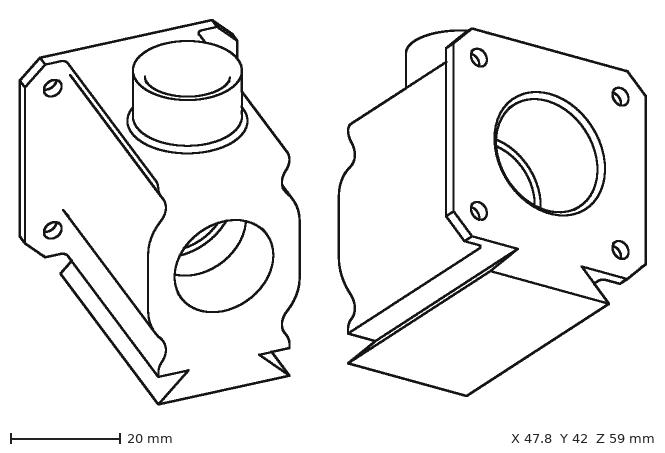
import cadquery as cq
import math

length = 47.8
flange_size = 42.0
total_height = 59.0

foot_height = 6.0
foot_bottom_width = 25.95
foot_top_width = 14.0
axis_z = foot_height + flange_size / 2
body_top_z = foot_height + flange_size

flange_thickness = 2.55
flange_corner = 4.0
bolt_pitch = 31.0
bolt_diameter = 3.5

body_half_width = 15.0
top_half_width = 13.0
relief_radius = 4.0
shoulder_radius = 10.05
lip_radius = 4.0
root_fillet = 1.0
end_fillet = 1.0

seat_diameter = 22.2
throat_diameter = 19.5
seat_depth = 20.0
groove_width = 8.95
bore_chamfer = 1.0

port_x = 30.0
port_diameter = 20.0
port_base_chamfer = 1.0
port_rim_diameter = 18.6
port_cone_diameter = 15.5
port_hole_diameter = 10.0


def cylinder_x(diameter, start, depth):
    """Cylinder along X on the bearing axis."""
    return (
        cq.Workplane("YZ", origin=(start, 0, axis_z))
        .circle(diameter / 2)
        .extrude(depth)
    )


def make_flange():
    flange = cq.Workplane("YZ", origin=(0, 0, axis_z)).rect(flange_size, flange_size)
    return flange.extrude(flange_thickness).edges("|X").chamfer(flange_corner)


def make_body():
    """Housing with a bolt relief along each corner, blended by tangent arcs."""
    bolt = bolt_pitch / 2

    shoulder_y = body_half_width - shoulder_radius
    shoulder_reach = shoulder_radius + relief_radius
    shoulder_z = bolt - math.sqrt(shoulder_reach**2 - (bolt - shoulder_y) ** 2)
    lip_y = top_half_width - lip_radius
    lip_reach = lip_radius + relief_radius
    lip_z = bolt + math.sqrt(lip_reach**2 - (bolt - lip_y) ** 2)

    def on_arc(y, z, radius, angle):
        return (y + radius * math.cos(angle), z + radius * math.sin(angle))

    shoulder_angle = math.atan2(bolt - shoulder_z, bolt - shoulder_y)
    lip_angle = math.atan2(bolt - lip_z, bolt - lip_y)

    quarter = [
        (body_half_width, shoulder_z),
        on_arc(shoulder_y, shoulder_z, shoulder_radius, shoulder_angle / 2),
        on_arc(shoulder_y, shoulder_z, shoulder_radius, shoulder_angle),
        on_arc(bolt, bolt, relief_radius, math.pi + (shoulder_angle + lip_angle) / 2),
        on_arc(lip_y, lip_z, lip_radius, lip_angle),
        on_arc(lip_y, lip_z, lip_radius, lip_angle / 2),
        (top_half_width, lip_z),
        (top_half_width, flange_size / 2),
    ]

    sketch = cq.Workplane("YZ", origin=(0, 0, axis_z)).moveTo(0, -flange_size / 2)
    for sign in (1, -1):
        near = [(sign * y, -sign * z) for y, z in reversed(quarter)]
        far = [(sign * y, sign * z) for y, z in quarter]
        sketch = sketch.lineTo(*near[0]).lineTo(*near[1])
        for middle, end in zip(near[2::2], near[3::2]):
            sketch = sketch.threePointArc(middle, end)
        sketch = sketch.lineTo(*far[0])
        for middle, end in zip(far[1:-1:2], far[2:-1:2]):
            sketch = sketch.threePointArc(middle, end)
        sketch = sketch.lineTo(*far[-1])
    body = sketch.close().extrude(length)
    return body.faces(">X").edges(">Z").fillet(end_fillet)


def fillet_flange_root(part):
    """Round the corner between the flange and the two body sides."""
    margin = 0.05
    selector = cq.selectors.BoxSelector(
        (flange_thickness - margin, -body_half_width - margin, foot_height - margin),
        (flange_thickness + margin, body_half_width + margin, body_top_z + margin),
        boundingbox=True,
    )
    return part.edges(selector).fillet(root_fillet)


def make_foot():
    return (
        cq.Workplane("YZ")
        .moveTo(-foot_bottom_width / 2, 0)
        .lineTo(foot_bottom_width / 2, 0)
        .lineTo(foot_top_width / 2, foot_height)
        .lineTo(-foot_top_width / 2, foot_height)
        .close()
        .extrude(length)
    )


def revolve_port(profile):
    """Revolve a radius-height outline about the port axis."""
    return profile.close().revolve(360, (0, 0, 0), (0, 1, 0)).translate((port_x, 0, 0))


def make_port():
    radius = port_diameter / 2
    return revolve_port(
        cq.Workplane("XZ")
        .moveTo(0, body_top_z)
        .lineTo(radius + port_base_chamfer, body_top_z)
        .lineTo(radius, body_top_z + port_base_chamfer)
        .lineTo(radius, total_height)
        .lineTo(0, total_height)
    )


def make_port_hole():
    """Rounded mouth, conical funnel and straight hole down to the main bore."""
    rim_radius = port_rim_diameter / 2
    cone_radius = port_cone_diameter / 2
    hole_radius = port_hole_diameter / 2
    mouth_round = rim_radius - cone_radius
    mouth_middle = (
        rim_radius - mouth_round * math.sin(math.pi / 4),
        total_height - mouth_round * (1 - math.cos(math.pi / 4)),
    )
    return revolve_port(
        cq.Workplane("XZ")
        .moveTo(0, axis_z)
        .lineTo(hole_radius, axis_z)
        .lineTo(hole_radius, body_top_z)
        .lineTo(cone_radius, total_height - mouth_round)
        .threePointArc(mouth_middle, (rim_radius, total_height))
        .lineTo(0, total_height)
    )


def make_bore():
    """Chamfered seat, narrower throat, and a groove of seat diameter below the port."""
    seat_radius = seat_diameter / 2
    entry = cq.Workplane(
        cq.Solid.makeCone(
            seat_radius + bore_chamfer,
            seat_radius,
            bore_chamfer,
            pnt=cq.Vector(0, 0, axis_z),
            dir=cq.Vector(1, 0, 0),
        )
    )
    return (
        cylinder_x(throat_diameter, 0, length)
        .union(cylinder_x(seat_diameter, 0, seat_depth))
        .union(cylinder_x(seat_diameter, port_x - groove_width / 2, groove_width))
        .union(entry)
    )


def make_bolt_holes():
    return (
        cq.Workplane("YZ", origin=(0, 0, axis_z))
        .rect(bolt_pitch, bolt_pitch, forConstruction=True)
        .vertices()
        .circle(bolt_diameter / 2)
        .extrude(flange_thickness)
    )


housing = fillet_flange_root(make_flange().union(make_body()))
solid = housing.union(make_foot()).union(make_port())
result = solid.cut(make_bore()).cut(make_port_hole()).cut(make_bolt_holes())